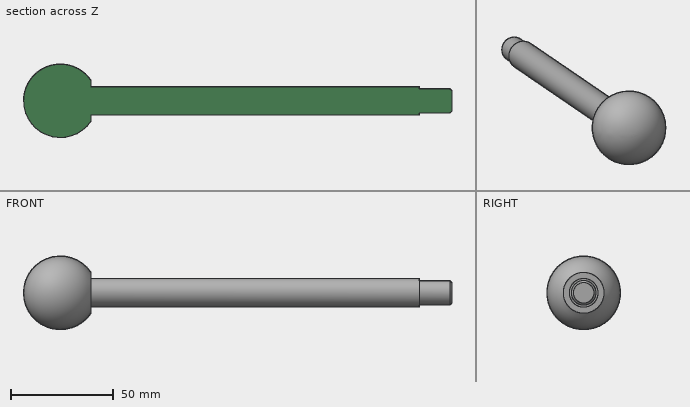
import cadquery as cq
import math

overall_length = 209.0
ball_diameter = 36.0
ball_length = 33.0
rod_diameter = 14.0
spigot_diameter = 12.0
spigot_length = 16.0
end_chamfer = 1.0

ball_radius = ball_diameter / 2
rod_radius = rod_diameter / 2
spigot_radius = spigot_diameter / 2

ball_tip_x = -ball_radius
seat_x = ball_tip_x + ball_length
end_x = ball_tip_x + overall_length
shoulder_x = end_x - spigot_length

seat_radius = math.sqrt(ball_radius**2 - seat_x**2)


def make_lever():
    """Revolve the half profile of ball, rod and chamfered spigot about X."""
    profile = (
        cq.Workplane("XY")
        .moveTo(ball_tip_x, 0)
        .threePointArc((0, ball_radius), (seat_x, seat_radius))
        .lineTo(seat_x, rod_radius)
        .lineTo(shoulder_x, rod_radius)
        .lineTo(shoulder_x, spigot_radius)
        .lineTo(end_x - end_chamfer, spigot_radius)
        .lineTo(end_x, spigot_radius - end_chamfer)
        .lineTo(end_x, 0)
        .close()
    )
    return profile.revolve(360, (0, 0, 0), (1, 0, 0))


result = make_lever()